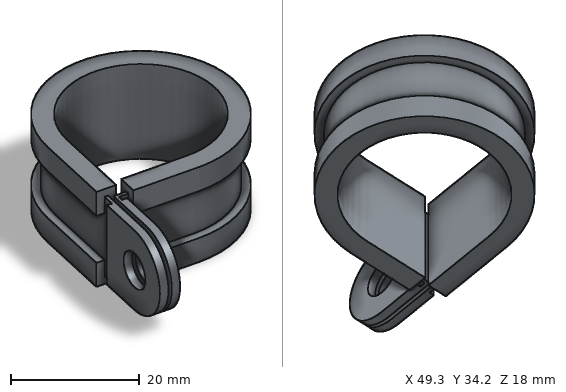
import cadquery as cq
import math

overall_length = 49.3
cushion_outer_radius = 17.1
cushion_inner_radius = 13.5
cushion_width = 18.0
lower_leg_length = 14.45
upper_leg_length = 12.05
groove_width = 8.85

strap_outer_radius = 15.65
strap_thickness = 0.65
strap_inner_radius = strap_outer_radius - strap_thickness
strap_width = 15.05
bend_radius = 0.3

tab_thickness = 1.55
tab_gap = 0.65
tab_start_x = 16.55
tab_end_radius = strap_width / 2
tab_center_x = overall_length - cushion_outer_radius - tab_end_radius
hole_diameter = 6.4

lower_tab_top = -strap_inner_radius
upper_tab_bottom = lower_tab_top + tab_gap


def loop_band(inner_radius, outer_radius, width):
    """Three-quarter ring with a leg along +X below and a leg along -Y on the right."""
    outer_diagonal = outer_radius * math.sqrt(0.5)
    inner_diagonal = inner_radius * math.sqrt(0.5)
    return (
        cq.Workplane("XY")
        .moveTo(lower_leg_length, -outer_radius)
        .lineTo(0, -outer_radius)
        .threePointArc((-outer_radius, 0), (0, outer_radius))
        .threePointArc((outer_diagonal, outer_diagonal), (outer_radius, 0))
        .lineTo(outer_radius, -upper_leg_length)
        .lineTo(inner_radius, -upper_leg_length)
        .lineTo(inner_radius, 0)
        .threePointArc((inner_diagonal, inner_diagonal), (0, inner_radius))
        .threePointArc((-inner_radius, 0), (0, -inner_radius))
        .lineTo(lower_leg_length, -inner_radius)
        .close()
        .extrude(width / 2, both=True)
    )


def strap_block(x_min, x_max, y_min, y_max):
    """Flat piece of strap, as wide as the strap and centred on Z = 0."""
    return cq.Workplane("XY").box(
        x_max - x_min, y_max - y_min, strap_width, centered=(False, False, True)
    ).translate((x_min, y_min, 0))


def tab(y_bottom):
    """Round-ended mounting tab with its lower face at y_bottom."""
    plate = strap_block(tab_start_x, tab_center_x, y_bottom, y_bottom + tab_thickness)
    end_plane = cq.Workplane("XZ", origin=(tab_center_x, y_bottom, 0))
    rounded_end = end_plane.circle(tab_end_radius).extrude(-tab_thickness)
    hole = end_plane.circle(hole_diameter / 2).extrude(-tab_thickness)
    return plate.union(rounded_end).cut(hole)


cushion = loop_band(cushion_inner_radius, cushion_outer_radius, cushion_width)
groove = loop_band(strap_outer_radius, cushion_outer_radius, groove_width)
clamp = cushion.cut(groove)

lower_strap_end = strap_block(
    lower_leg_length, tab_start_x, lower_tab_top - strap_thickness, lower_tab_top
)

upper_strap_drop = strap_block(
    strap_inner_radius, strap_outer_radius, upper_tab_bottom, -upper_leg_length
)
upper_strap_foot = strap_block(
    strap_inner_radius, tab_start_x, upper_tab_bottom, upper_tab_bottom + strap_thickness
)
upper_strap_bend = upper_strap_drop.union(upper_strap_foot)
upper_strap_end = upper_strap_bend.edges("|Z").edges("<X").edges("<Y").fillet(bend_radius)

result = (
    clamp.union(lower_strap_end)
    .union(upper_strap_end)
    .union(tab(lower_tab_top - tab_thickness))
    .union(tab(upper_tab_bottom))
)